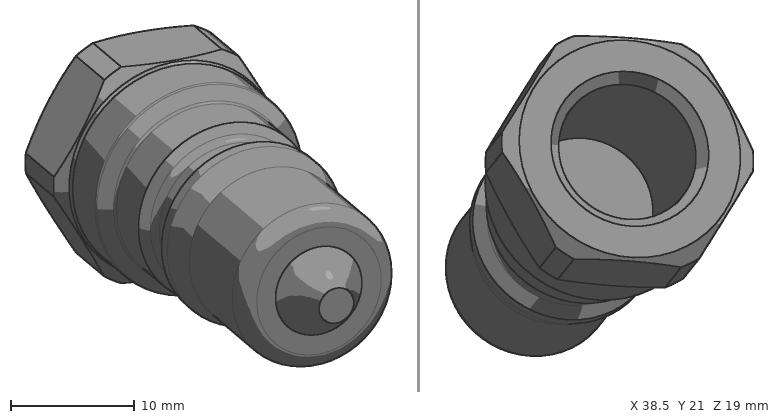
import cadquery as cq
import math

total_length = 38.48
across_flats = 19.0
across_corners = 21.0

hex_length = 6.85
hex_back_chamfer = 0.75
hex_front_chamfer = 0.58
hex_face_radius = 9.25
hex_front_radius = 9.4

collar_radius = 9.25
collar_start = 7.2
collar_end = 11.62
land_radius = 7.8
land_end = 16.95
groove_radius = 6.55
ridge_start = 21.45
ridge_end = 22.5
shoulder_angle = 60.0
ridge_angle = 45.0
collar_edge_rounding = 0.2
collar_root_rounding = 0.3
groove_back_rounding = 0.9
groove_front_rounding = 1.08
nose_radius = 7.05
nose_start = 25.13
nose_end = 35.0
nose_rounding = 1.5

tip_base_radius = 3.85
tip_end_radius = 1.55
tip_middle = (36.2, 2.3)

bore_radius = 5.75
bore_depth = 15.4
countersink_radius = 6.58
countersink_depth = 0.85


def revolve_about_x(profile):
    """Turn a closed XY profile into a solid around the X axis."""
    return profile.close().revolve(360, (0, 0, 0), (1, 0, 0))


def make_hexagon():
    """Hexagon with corners on Y, its corners turned down and chamfered at both ends."""
    corner_radius = across_corners / 2
    prism = cq.Workplane("YZ").polygon(6, across_flats, circumscribed=True).extrude(hex_length)
    prism = prism.rotate((0, 0, 0), (1, 0, 0), 30)
    envelope = revolve_about_x(
        cq.Workplane("XY")
        .lineTo(0, hex_face_radius)
        .lineTo(hex_back_chamfer, corner_radius)
        .lineTo(hex_length - hex_front_chamfer, corner_radius)
        .lineTo(hex_length, hex_front_radius)
        .lineTo(hex_length, 0)
    )
    return prism.intersect(envelope)


def round_corner(profile, corner, angle_in, angle_out, radius):
    """Draw up to a corner and round it with a tangent arc; the angles are line headings in degrees."""
    heading_in = math.radians(angle_in)
    heading_out = math.radians(angle_out)
    setback = radius * math.tan(abs(heading_out - heading_in) / 2)
    x, y = corner
    arc_start = (x - setback * math.cos(heading_in), y - setback * math.sin(heading_in))
    arc_end = (x + setback * math.cos(heading_out), y + setback * math.sin(heading_out))
    return profile.lineTo(*arc_start).tangentArcPoint(arc_end, relative=False)


def make_body():
    """Collar, land, locking groove, ridge, rounded nose and flared tip."""
    shoulder_slope = math.tan(math.radians(shoulder_angle))
    ridge_slope = math.tan(math.radians(ridge_angle))
    collar_root = collar_end + (collar_radius - land_radius) / shoulder_slope
    groove_start = land_end + (land_radius - groove_radius) / shoulder_slope
    groove_end = ridge_start - (land_radius - groove_radius) / ridge_slope

    profile = (
        cq.Workplane("XY")
        .moveTo(hex_length / 2, 0)
        .lineTo(hex_length / 2, hex_front_radius)
        .lineTo(hex_length, hex_front_radius)
        .lineTo(collar_start, collar_radius)
    )
    profile = round_corner(profile, (collar_end, collar_radius), 0, -shoulder_angle, collar_edge_rounding)
    profile = round_corner(profile, (collar_root, land_radius), -shoulder_angle, 0, collar_root_rounding)
    profile = profile.lineTo(land_end, land_radius)
    profile = round_corner(profile, (groove_start, groove_radius), -shoulder_angle, 0, groove_back_rounding)
    profile = round_corner(profile, (groove_end, groove_radius), 0, ridge_angle, groove_front_rounding)
    return revolve_about_x(
        profile
        .lineTo(ridge_start, land_radius)
        .lineTo(ridge_end, land_radius)
        .lineTo(nose_start, nose_radius)
        .lineTo(nose_end - nose_rounding, nose_radius)
        .radiusArc((nose_end, nose_radius - nose_rounding), nose_rounding)
        .lineTo(nose_end, tip_base_radius)
        .threePointArc(tip_middle, (total_length, tip_end_radius))
        .lineTo(total_length, 0)
    )


def make_bore():
    """Blind bore with a countersunk mouth."""
    return revolve_about_x(
        cq.Workplane("XY")
        .lineTo(0, countersink_radius)
        .lineTo(countersink_depth, bore_radius)
        .lineTo(bore_depth, bore_radius)
        .lineTo(bore_depth, 0)
    )


result = make_hexagon().union(make_body()).cut(make_bore())